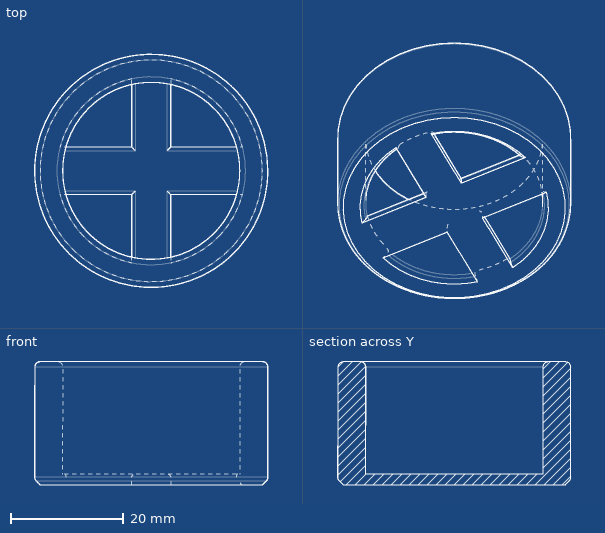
import cadquery as cq

outer_diameter = 41.5
bore_diameter = 31.5
height = 22.0
top_round = 1.0
bottom_chamfer = 1.0
chamfer_blend_radius = 1.0

x_bar_width = 8.5
y_bar_width = 7.0
bar_thickness = 2.0
bar_edge_round = 0.7

bar_length = (bore_diameter + outer_diameter) / 2


def make_ring():
    """Ring with rounded top rims and blended chamfers on both bottom rims."""
    ring = (
        cq.Workplane("XY")
        .circle(outer_diameter / 2)
        .circle(bore_diameter / 2)
        .extrude(height)
        .faces("<Z").edges().chamfer(bottom_chamfer)
    )
    wall_corners = ring.faces("%CYLINDER").edges("<Z")
    ring = wall_corners.fillet(chamfer_blend_radius)
    return ring.faces(">Z").edges().fillet(top_round)


def make_bar(size_x, size_y):
    """Flat bar centred on the ring axis, resting on the XY plane."""
    return cq.Workplane("XY").rect(size_x, size_y).extrude(bar_thickness)


def make_cross():
    """Two crossing bars with rounded upper edges."""
    cross = make_bar(bar_length, x_bar_width).union(make_bar(y_bar_width, bar_length))
    return cross.faces(">Z").edges().fillet(bar_edge_round)


result = make_ring().union(make_cross())